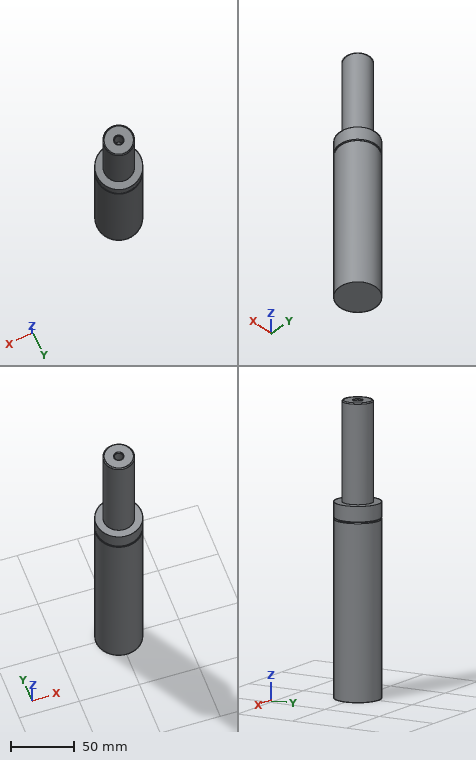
import cadquery as cq
import math

total_height = 240.0
body_radius = 19.0
rod_radius = 12.5
collar_top = 158.2

groove_center = 145.0
groove_width = 1.5
groove_depth = groove_width / 2

rod_chamfer = 1.0

hole_radius = 3.4
hole_mouth_radius = 4.0
hole_depth = 19.2
drill_point_angle = 118.0


def make_shaft():
    """Barrel, collar and rod revolved from one half profile."""
    return (
        cq.Workplane("XZ")
        .lineTo(body_radius, 0)
        .lineTo(body_radius, groove_center - groove_width / 2)
        .lineTo(body_radius - groove_depth, groove_center)
        .lineTo(body_radius, groove_center + groove_width / 2)
        .lineTo(body_radius, collar_top)
        .lineTo(rod_radius, collar_top)
        .lineTo(rod_radius, total_height - rod_chamfer)
        .lineTo(rod_radius - rod_chamfer, total_height)
        .lineTo(0, total_height)
        .close()
        .revolve(360, (0, 0), (0, 1))
    )


def make_end_hole():
    """Blind drilled hole with a conical bottom and a 45 degree countersink."""
    countersink_depth = hole_mouth_radius - hole_radius
    point_depth = hole_radius / math.tan(math.radians(drill_point_angle / 2))
    hole_bottom = total_height - hole_depth
    return (
        cq.Workplane("XZ")
        .moveTo(0, hole_bottom - point_depth)
        .lineTo(hole_radius, hole_bottom)
        .lineTo(hole_radius, total_height - countersink_depth)
        .lineTo(hole_mouth_radius, total_height)
        .lineTo(0, total_height)
        .close()
        .revolve(360, (0, 0), (0, 1))
    )


result = make_shaft().cut(make_end_hole())